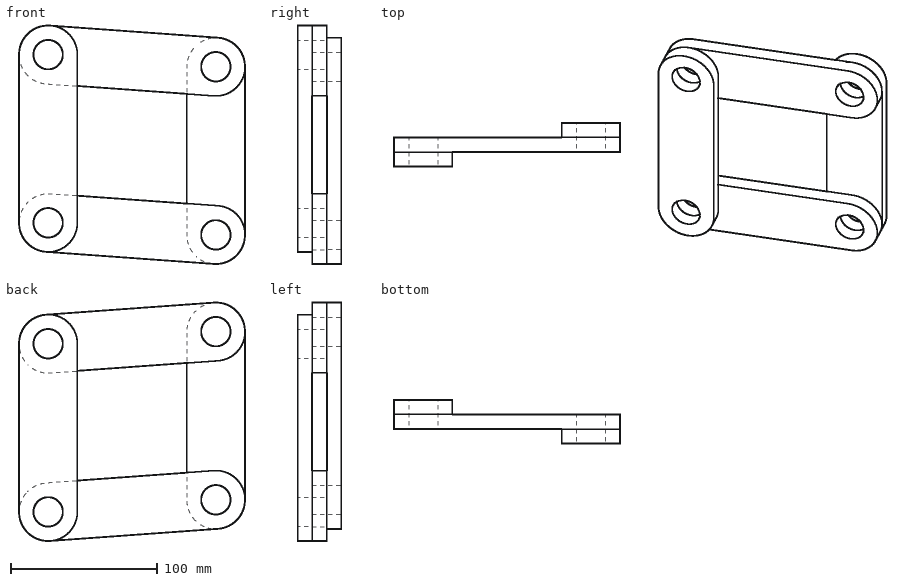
import cadquery as cq
import math

PIVOT_SPACING = 115.0
LINK_WIDTH = 40.0
LINK_THICKNESS = 10.0
PIVOT_HOLE_DIAMETER = 20.0
ARM_DROP = 8.27

arm_angle = math.degrees(math.asin(ARM_DROP / PIVOT_SPACING))
arm_run = math.sqrt(PIVOT_SPACING**2 - ARM_DROP**2)

FRONT_LAYER_Y = 0.0
MIDDLE_LAYER_Y = FRONT_LAYER_Y + LINK_THICKNESS
REAR_LAYER_Y = MIDDLE_LAYER_Y + LINK_THICKNESS


def make_link(pivot_x, front_y, pivot_z, angle):
    """Round-ended link from its first pivot; angle in degrees from +X towards +Z."""
    link = (
        cq.Workplane("XZ")
        .center(PIVOT_SPACING / 2, 0)
        .slot2D(PIVOT_SPACING + LINK_WIDTH, LINK_WIDTH)
        .extrude(-LINK_THICKNESS)
    )
    holes = (
        cq.Workplane("XZ")
        .pushPoints([(0, 0), (PIVOT_SPACING, 0)])
        .circle(PIVOT_HOLE_DIAMETER / 2)
        .extrude(-LINK_THICKNESS)
    )
    return (
        link.cut(holes)
        .rotate((0, 0, 0), (0, 1, 0), -angle)
        .translate((pivot_x, front_y, pivot_z))
    )


front_upright = make_link(0, FRONT_LAYER_Y, 0, 90)

arms = [
    make_link(0, MIDDLE_LAYER_Y, left_pivot_z, -arm_angle)
    for left_pivot_z in (0, PIVOT_SPACING)
]

rear_upright = make_link(arm_run, REAR_LAYER_Y, -ARM_DROP, 90)

result = cq.Compound.makeCompound(
    [front_upright.val(), *[arm.val() for arm in arms], rear_upright.val()]
)